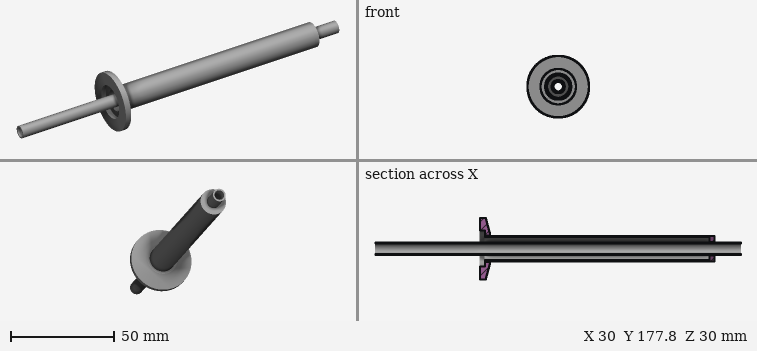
import cadquery as cq
import math


inner_tube_diameter = 6.35
inner_tube_bore = 4.76
inner_tube_length = 177.8
inner_tube_front_reach = 50.8

outer_tube_diameter = 12.7
outer_tube_bore = 10.9
cap_thickness = 2.5
cap_back_y = 114.0
cap_front_y = cap_back_y - cap_thickness

flange_diameter = 30.0
flange_recess_diameter = 17.2
flange_rim_thickness = 3.0
flange_thickness = 5.0
flange_recess_depth = flange_thickness / 2
flange_taper_angle = 15.0
flange_taper_run = (flange_thickness - flange_rim_thickness) / math.tan(math.radians(flange_taper_angle))
flange_back_radius = flange_diameter / 2 - flange_taper_run


def ring(outer_diameter, bore_diameter, start_y, end_y):
    """Round sleeve about the Y axis, running from start_y to end_y."""
    start_plane = cq.Workplane("XZ", origin=(0, start_y, 0))
    profile = start_plane.circle(outer_diameter / 2).circle(bore_diameter / 2)
    return profile.extrude(start_y - end_y)


def make_flange():
    """Flange turned from its half section; the outer tube fits its bore."""
    bore_radius = outer_tube_diameter / 2
    recess_radius = flange_recess_diameter / 2
    rim_radius = flange_diameter / 2
    half_section = (
        cq.Workplane("XY")
        .moveTo(recess_radius, 0)
        .lineTo(rim_radius, 0)
        .lineTo(rim_radius, flange_rim_thickness)
        .lineTo(flange_back_radius, flange_thickness)
        .lineTo(bore_radius, flange_thickness)
        .lineTo(bore_radius, flange_recess_depth)
        .lineTo(recess_radius, flange_recess_depth)
        .close()
    )
    return half_section.revolve(360, (0, 0, 0), (0, 1, 0))


flange = make_flange()
outer_tube = ring(outer_tube_diameter, outer_tube_bore, flange_recess_depth, cap_front_y)
end_cap = ring(outer_tube_diameter, inner_tube_diameter, cap_front_y, cap_back_y)
inner_tube = ring(
    inner_tube_diameter,
    inner_tube_bore,
    -inner_tube_front_reach,
    inner_tube_length - inner_tube_front_reach,
)

result = cq.Compound.makeCompound([flange.val(), outer_tube.val(), end_cap.val(), inner_tube.val()])